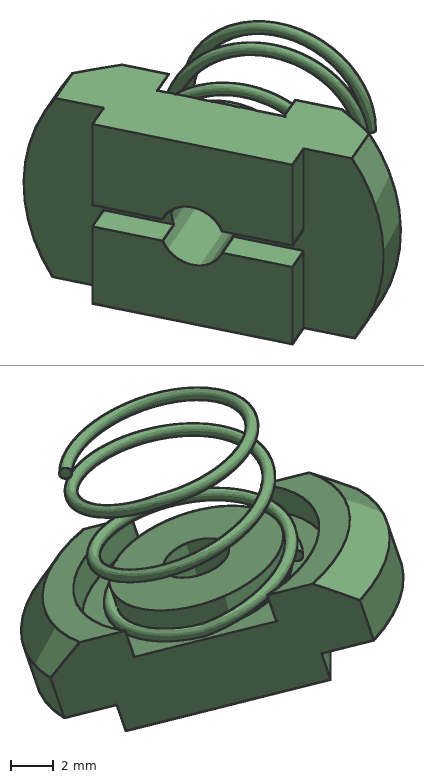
import cadquery as cq

end_radius = 9.0
height_above_axis = 5.1
height_below_axis = 4.9
flange_thickness = 3.8
end_chamfer = 1.5
rib_width = 10.0
rib_depth = 1.5
slot_width = 1.2
bolt_hole_diameter = 3.2

wire_diameter = 0.6
boss_radius = 4.25
seat_radius = 6.0
seat_depth = 1.5
spring_reach = 6.5
active_turns = 2
flat_turn_angle = 270

nut_height = height_above_axis + height_below_axis
height_middle = (height_above_axis - height_below_axis) / 2
seat_floor = flange_thickness - seat_depth
wire_radius = wire_diameter / 2
coil_radius = boss_radius + wire_radius
lower_coil_y = seat_floor + wire_radius
upper_coil_y = flange_thickness + spring_reach - wire_radius
helix_height = upper_coil_y - lower_coil_y
pitch = helix_height / active_turns


def disc(radius, start_y, thickness):
    """Cylinder about the Y axis, growing toward +Y."""
    return cq.Workplane("XZ", origin=(0, start_y, 0)).circle(radius).extrude(-thickness)


def bar(width, tall, middle_z, start_y, thickness):
    """Box centred on X, growing toward +Y."""
    return cq.Workplane("XZ", origin=(0, start_y, middle_z)).rect(width, tall).extrude(-thickness)


def make_nut():
    flange = disc(end_radius, 0, flange_thickness).faces(">Y").chamfer(end_chamfer)
    flange = flange.intersect(bar(2 * end_radius, nut_height, height_middle, 0, flange_thickness))

    rib = bar(rib_width, nut_height, height_middle, -rib_depth, rib_depth)
    slot = bar(rib_width, slot_width, 0, -rib_depth, rib_depth)
    body = flange.union(rib.cut(slot))

    groove = disc(seat_radius, seat_floor, seat_depth).cut(disc(boss_radius, seat_floor, seat_depth))
    hole = disc(bolt_hole_diameter / 2, -rib_depth, rib_depth + flange_thickness)
    return body.cut(groove).cut(hole)


def flat_coil(start_angle, height):
    """Part-turn ring about the local Z axis; angles run counterclockwise from local +X."""
    ring = (
        cq.Workplane("XZ")
        .center(coil_radius, height)
        .circle(wire_radius)
        .revolve(flat_turn_angle, (-coil_radius, 0, 0), (-coil_radius, 1, 0))
    )
    return ring.rotate((0, 0, 0), (0, 0, 1), start_angle)


def make_spring():
    helix = cq.Wire.makeHelix(pitch, helix_height, coil_radius)
    turns = cq.Workplane("XZ").center(coil_radius, 0).circle(wire_radius).sweep(helix, isFrenet=True)
    lower_coil = flat_coil(-flat_turn_angle, 0)
    upper_coil = flat_coil(0, helix_height)
    spring = turns.union(lower_coil).union(upper_coil)

    spring = spring.rotate((0, 0, 0), (0, 0, 1), 90).rotate((0, 0, 0), (1, 0, 0), -90)
    return spring.translate((0, lower_coil_y, 0))


nut = make_nut()
spring = make_spring()
result = cq.Compound.makeCompound([nut.val(), spring.val()])